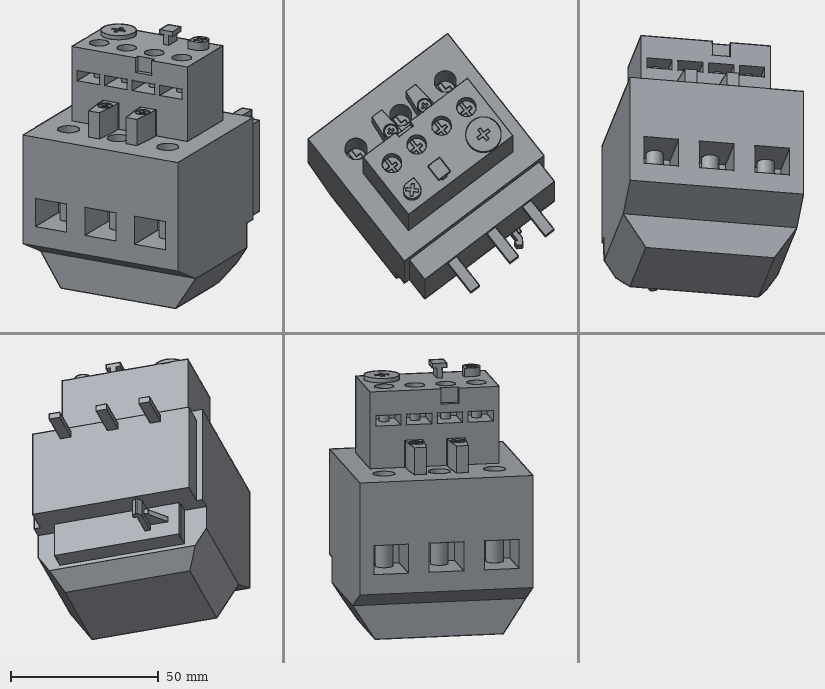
import cadquery as cq

TOTAL_HEIGHT = 89.0
TOTAL_DEPTH = 74.5

BODY_WIDTH = 59.6
BODY_FRONT = 0.0
BODY_REAR = 53.3
BODY_TOP = 57.3
FRONT_SLOPE_TOP = 18.5
FOOT_TOP = 12.0
FOOT_WIDTH = 44.1
FOOT_FRONT = 12.6
FOOT_REAR = 48.9
FOOT_REAR_CHAMFER = 5.9

PLATE_WIDTH = 55.4
PLATE_BOTTOM = 20.8
PLATE_TOP = 53.3
PLATE_REAR = 61.85
PIN_WIDTH = 3.7
PIN_THICKNESS = 2.1
PIN_BOTTOM = 49.5
PIN_CENTRES_X = (-15.8, -0.7, 15.9)

CLIP_WIDTH = FOOT_WIDTH
CLIP_BOTTOM = 7.3
CLIP_BLOCK_REAR = 52.7
CLIP_GROOVE_WIDTH = 0.4
CLIP_GROOVE_DEPTH = 0.45
CLIP_PLATE_TOP = 19.9
CLIP_PLATE_REAR = 55.2
HOOK_BOTTOM = 10.9
HOOK_HEIGHT = 6.05
HOOK_STEM_LEFT = -11.9
HOOK_STEM_RIGHT = -10.1
HOOK_CREST_LEFT = -10.8
HOOK_CREST_RIGHT = -10.15
HOOK_TIP_RIGHT = -8.8
HOOK_SLOPE_START = 64.4
HOOK_TIP_FRONT = 64.2
HOOK_TIP_REAR = 65.4
HOOK_REAR = 66.4
GUSSET_BOTTOM = 13.0
GUSSET_HEIGHT = 1.9
GUSSET_EDGE_X = -13.3
GUSSET_ROOT_X = -18.25
GUSSET_REAR = 62.2
GUSSET_FLAT = 0.9

HEAD_WIDTH = 44.5
HEAD_FRONT = 20.7
HEAD_REAR = 45.8
HEAD_TOP = 83.9
NOTCH_X = 5.3
NOTCH_WIDTH = 6.2
NOTCH_DEPTH = 1.9
NOTCH_HEIGHT = 5.25

DIAL_X = -14.5
DIAL_Y = 39.6
DIAL_DIAMETER = 12.0
DIAL_HEIGHT = 1.5
DIAL_CROSS_LENGTH = 4.7
DIAL_CROSS_WIDTH = 1.1
BUTTON_X = 5.0
BUTTON_FRONT = 37.4
BUTTON_LENGTH = 6.05
BUTTON_CAP_WIDTH = 5.0
BUTTON_CAP_THICKNESS = 1.6
BUTTON_STEM_WIDTH = 2.0
RESET_X = 16.5
RESET_Y = 40.3
RESET_DIAMETER = 6.0
RESET_HEIGHT = 2.9
RESET_CROSS_LENGTH = 4.4
RESET_CROSS_WIDTH = 1.1
SHALLOW_CROSS_DEPTH = 0.45

SMALL_PITCH = 10.6
SMALL_CENTRES_X = [(i - 1.5) * SMALL_PITCH for i in range(4)]
SMALL_Y = 28.4
SMALL_HOLE_DIAMETER = 6.6
SMALL_SHANK_DIAMETER = 3.4
SMALL_SCREW_TOP = 78.3
SMALL_WINDOW_WIDTH = 8.6
SMALL_WINDOW_BOTTOM = 72.0
SMALL_WINDOW_HEIGHT = 3.65
SMALL_CROSS_LENGTH_X = 4.1
SMALL_CROSS_LENGTH_Y = SMALL_HOLE_DIAMETER
SMALL_CROSS_WIDTH = 1.1

MAIN_PITCH = 19.05
MAIN_CENTRES_X = [(i - 1) * MAIN_PITCH for i in range(3)]
MAIN_Y = 12.6
MAIN_HOLE_DIAMETER = 7.4
MAIN_SHANK_DIAMETER = 6.0
MAIN_SCREW_TOP = 40.05
MAIN_WINDOW_WIDTH = 11.9
MAIN_WINDOW_BOTTOM = 25.4
MAIN_WINDOW_HEIGHT = 10.1
MAIN_CROSS_LENGTH_X = 4.9
MAIN_CROSS_LENGTH_Y = 7.0
MAIN_CROSS_WIDTH = 1.5
DEEP_CROSS_DEPTH = 0.9

TAB_OFFSET_X = 7.2
TAB_TOP = 66.7
TAB_FRONT = 8.8
TAB_TAPER_START = 16.8
TAB_ROOT_WIDTH = 6.4
TAB_WIDTH = 5.8
TAB_TIP_WIDTH = 4.1
TAB_FLARE = 0.3
TAB_SCREW_Y = 16.55
TAB_SCREW_RIM_DIAMETER = 5.0
TAB_SCREW_DIAMETER = 4.4
TAB_CROSS_LENGTH = 2.3
TAB_CROSS_WIDTH = 0.6


def box(x, y, z):
    """Box filling the given (low, high) range along each axis."""
    return (
        cq.Workplane("XY")
        .box(x[1] - x[0], y[1] - y[0], z[1] - z[0], centered=False)
        .translate((x[0], y[0], z[0]))
    )


def centred_box(x, width, y, z):
    """Box of the given width about x."""
    return box((x - width / 2, x + width / 2), y, z)


def cylinder(x, y, diameter, z):
    return cq.Workplane("XY", origin=(x, y, z[0])).circle(diameter / 2).extrude(z[1] - z[0])


def cross_recess(x, y, top, length_x, length_y, width, depth, angle=0):
    """Cutter for a cross-shaped screwdriver recess below the given top."""
    bars = cq.Workplane("XY").rect(length_x, width).extrude(-depth)
    bars = bars.union(cq.Workplane("XY").rect(width, length_y).extrude(-depth))
    return bars.rotate((0, 0, 0), (0, 0, 1), angle).translate((x, y, top))


def make_body():
    side_outline = [
        (BODY_FRONT, BODY_TOP),
        (BODY_FRONT, FRONT_SLOPE_TOP),
        (FOOT_FRONT, FOOT_TOP),
        (FOOT_FRONT, 0),
        (FOOT_REAR - FOOT_REAR_CHAMFER, 0),
        (FOOT_REAR, FOOT_REAR_CHAMFER),
        (FOOT_REAR, PLATE_BOTTOM),
        (BODY_REAR, PLATE_BOTTOM),
        (BODY_REAR, BODY_TOP),
    ]
    front_outline = [
        (-BODY_WIDTH / 2, BODY_TOP),
        (-BODY_WIDTH / 2, FOOT_TOP),
        (-FOOT_WIDTH / 2, 0),
        (FOOT_WIDTH / 2, 0),
        (BODY_WIDTH / 2, FOOT_TOP),
        (BODY_WIDTH / 2, BODY_TOP),
    ]
    side = cq.Workplane("YZ").polyline(side_outline).close().extrude(BODY_WIDTH / 2, both=True)
    front = cq.Workplane("XZ").polyline(front_outline).close().extrude(BODY_FRONT - BODY_REAR)
    return side.intersect(front)


def make_rear_plate():
    plate = centred_box(0, PLATE_WIDTH, (BODY_REAR, PLATE_REAR), (PLATE_BOTTOM, PLATE_TOP))
    for x in PIN_CENTRES_X:
        pin_height = (PIN_BOTTOM, PIN_BOTTOM + PIN_THICKNESS)
        plate = plate.union(centred_box(x, PIN_WIDTH, (PLATE_REAR, TOTAL_DEPTH), pin_height))
    return plate


def make_clip():
    clip = centred_box(0, CLIP_WIDTH, (FOOT_REAR, CLIP_BLOCK_REAR), (CLIP_BOTTOM, PLATE_BOTTOM))
    neck_width = CLIP_WIDTH - 2 * CLIP_GROOVE_DEPTH
    neck_rear = CLIP_BLOCK_REAR + CLIP_GROOVE_WIDTH
    plate_height = (CLIP_BOTTOM, CLIP_PLATE_TOP)
    clip = clip.union(centred_box(0, neck_width, (CLIP_BLOCK_REAR, neck_rear), plate_height))
    clip = clip.union(centred_box(0, CLIP_WIDTH, (neck_rear, CLIP_PLATE_REAR), plate_height))
    return clip.union(make_hook()).union(make_gusset())


def make_hook():
    outline = [
        (HOOK_STEM_LEFT, CLIP_PLATE_REAR),
        (HOOK_STEM_LEFT, HOOK_SLOPE_START),
        (HOOK_CREST_LEFT, HOOK_REAR),
        (HOOK_CREST_RIGHT, HOOK_REAR),
        (HOOK_TIP_RIGHT, HOOK_TIP_REAR),
        (HOOK_TIP_RIGHT, HOOK_TIP_FRONT),
        (HOOK_STEM_RIGHT, HOOK_TIP_FRONT),
        (HOOK_STEM_RIGHT, CLIP_PLATE_REAR),
    ]
    hook = cq.Workplane("XY", origin=(0, 0, HOOK_BOTTOM)).polyline(outline).close()
    return hook.extrude(HOOK_HEIGHT)


def make_gusset():
    """Sloped rib against the left side of the hook."""
    outline = [
        (GUSSET_ROOT_X, CLIP_PLATE_REAR),
        (GUSSET_EDGE_X, GUSSET_REAR - GUSSET_FLAT),
        (GUSSET_EDGE_X, GUSSET_REAR),
        (HOOK_STEM_LEFT, GUSSET_REAR),
        (HOOK_STEM_LEFT, CLIP_PLATE_REAR),
    ]
    gusset = cq.Workplane("XY", origin=(0, 0, GUSSET_BOTTOM)).polyline(outline).close()
    return gusset.extrude(GUSSET_HEIGHT)


def make_head():
    head = centred_box(0, HEAD_WIDTH, (HEAD_FRONT, HEAD_REAR), (BODY_TOP, HEAD_TOP))
    notch = centred_box(
        NOTCH_X, NOTCH_WIDTH, (HEAD_FRONT, HEAD_FRONT + NOTCH_DEPTH), (HEAD_TOP - NOTCH_HEIGHT, HEAD_TOP)
    )
    return head.cut(notch)


def make_dial():
    top = HEAD_TOP + DIAL_HEIGHT
    dial = cylinder(DIAL_X, DIAL_Y, DIAL_DIAMETER, (HEAD_TOP, top))
    return dial.cut(
        cross_recess(
            DIAL_X, DIAL_Y, top, DIAL_CROSS_LENGTH, DIAL_CROSS_LENGTH, DIAL_CROSS_WIDTH, SHALLOW_CROSS_DEPTH
        )
    )


def make_button():
    length = (BUTTON_FRONT, BUTTON_FRONT + BUTTON_LENGTH)
    cap_bottom = TOTAL_HEIGHT - BUTTON_CAP_THICKNESS
    stem = centred_box(BUTTON_X, BUTTON_STEM_WIDTH, length, (HEAD_TOP, cap_bottom))
    return stem.union(centred_box(BUTTON_X, BUTTON_CAP_WIDTH, length, (cap_bottom, TOTAL_HEIGHT)))


def make_reset_screw():
    """Round knob with one square corner towards -X, -Y."""
    top = HEAD_TOP + RESET_HEIGHT
    radius = RESET_DIAMETER / 2
    knob = cylinder(RESET_X, RESET_Y, RESET_DIAMETER, (HEAD_TOP, top))
    knob = knob.union(box((RESET_X - radius, RESET_X), (RESET_Y - radius, RESET_Y), (HEAD_TOP, top)))
    return knob.cut(
        cross_recess(
            RESET_X,
            RESET_Y,
            top,
            RESET_CROSS_LENGTH,
            RESET_CROSS_LENGTH,
            RESET_CROSS_WIDTH,
            SHALLOW_CROSS_DEPTH,
            angle=45,
        )
    )


def make_tab(x):
    right_side = [
        (TAB_ROOT_WIDTH / 2, HEAD_FRONT),
        (TAB_WIDTH / 2, HEAD_FRONT - TAB_FLARE),
        (TAB_WIDTH / 2, TAB_TAPER_START),
        (TAB_TIP_WIDTH / 2, TAB_FRONT),
    ]
    left_side = [(-half_width, y) for half_width, y in reversed(right_side)]
    tab = (
        cq.Workplane("XY", origin=(x, 0, BODY_TOP))
        .polyline(right_side + left_side)
        .close()
        .extrude(TAB_TOP - BODY_TOP)
    )
    rim_radius = TAB_SCREW_RIM_DIAMETER / 2
    screw_radius = TAB_SCREW_DIAMETER / 2
    sink_depth = rim_radius - screw_radius
    sink = cq.Workplane(
        cq.Solid.makeCone(
            screw_radius, rim_radius, sink_depth, cq.Vector(x, TAB_SCREW_Y, TAB_TOP - sink_depth)
        )
    )
    cross = cross_recess(
        x,
        TAB_SCREW_Y,
        TAB_TOP - sink_depth,
        TAB_CROSS_LENGTH,
        TAB_CROSS_LENGTH,
        TAB_CROSS_WIDTH,
        SHALLOW_CROSS_DEPTH,
    )
    return tab.cut(sink).cut(cross)


def wire_window(x, screw_y, face_y, bottom, width, height, hole_diameter, shank_diameter):
    """Cutter for a window from the face to the far side of the screw hole, leaving the shank standing."""
    z = (bottom, bottom + height)
    window = centred_box(x, width, (face_y, screw_y + hole_diameter / 2), z)
    return window.cut(cylinder(x, screw_y, shank_diameter, z))


def small_terminal_cutter(x):
    window = wire_window(
        x,
        SMALL_Y,
        HEAD_FRONT,
        SMALL_WINDOW_BOTTOM,
        SMALL_WINDOW_WIDTH,
        SMALL_WINDOW_HEIGHT,
        SMALL_HOLE_DIAMETER,
        SMALL_SHANK_DIAMETER,
    )
    hole = cylinder(x, SMALL_Y, SMALL_HOLE_DIAMETER, (SMALL_SCREW_TOP, HEAD_TOP))
    cross = cross_recess(
        x,
        SMALL_Y,
        SMALL_SCREW_TOP,
        SMALL_CROSS_LENGTH_X,
        SMALL_CROSS_LENGTH_Y,
        SMALL_CROSS_WIDTH,
        DEEP_CROSS_DEPTH,
    )
    return window.union(hole).union(cross)


def main_terminal_cutter(x):
    window = wire_window(
        x,
        MAIN_Y,
        BODY_FRONT,
        MAIN_WINDOW_BOTTOM,
        MAIN_WINDOW_WIDTH,
        MAIN_WINDOW_HEIGHT,
        MAIN_HOLE_DIAMETER,
        MAIN_SHANK_DIAMETER,
    )
    hole = cylinder(x, MAIN_Y, MAIN_HOLE_DIAMETER, (MAIN_SCREW_TOP, BODY_TOP))
    cross = cross_recess(
        x,
        MAIN_Y,
        MAIN_SCREW_TOP,
        MAIN_CROSS_LENGTH_X,
        MAIN_CROSS_LENGTH_Y,
        MAIN_CROSS_WIDTH,
        DEEP_CROSS_DEPTH,
    )
    return window.union(hole).union(cross)


result = make_body().union(make_rear_plate()).union(make_clip()).union(make_head())
result = result.union(make_dial()).union(make_button()).union(make_reset_screw())
for tab_x in (-TAB_OFFSET_X, TAB_OFFSET_X):
    result = result.union(make_tab(tab_x))
for terminal_x in SMALL_CENTRES_X:
    result = result.cut(small_terminal_cutter(terminal_x))
for terminal_x in MAIN_CENTRES_X:
    result = result.cut(main_terminal_cutter(terminal_x))